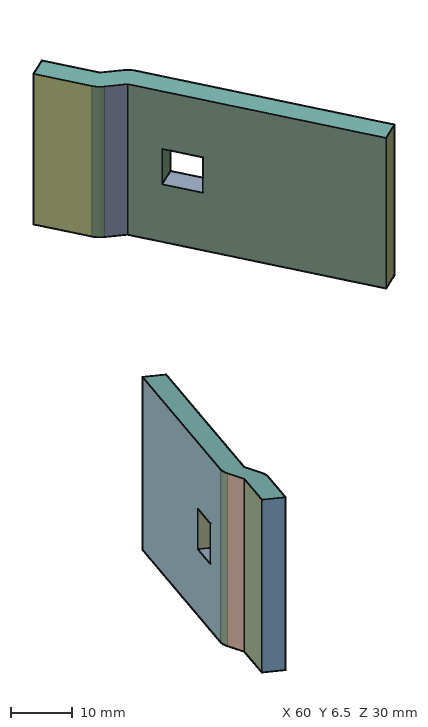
import cadquery as cq
import math

length = 60.0
depth = 6.5
height = 30.0

thickness = 4.0
tab_length = 10.0
bend_angle = math.radians(30)
offset = depth - thickness

hole_side = 7.0
hole_center_x = 24.85


def point_on_bend(center, angle):
    """Point one sheet thickness from a bend center, at an angle from +X."""
    return (
        center[0] + thickness * math.cos(angle),
        center[1] + thickness * math.sin(angle),
    )


down = -math.pi / 2
up = math.pi / 2
tab_bend = (tab_length, thickness)
tab_arc_start = point_on_bend(tab_bend, down)
tab_arc_middle = point_on_bend(tab_bend, down + bend_angle / 2)
tab_arc_end = point_on_bend(tab_bend, down + bend_angle)

slope_run = (offset - tab_arc_end[1]) / math.tan(bend_angle)
plate_bend = (tab_arc_end[0] + slope_run, offset)
plate_arc_start = point_on_bend(plate_bend, up)
plate_arc_middle = point_on_bend(plate_bend, up + bend_angle / 2)
plate_arc_end = point_on_bend(plate_bend, up + bend_angle)

sheet = (
    cq.Workplane("XY")
    .moveTo(0, 0)
    .lineTo(*tab_arc_start)
    .threePointArc(tab_arc_middle, tab_arc_end)
    .lineTo(*plate_bend)
    .lineTo(length, offset)
    .lineTo(length, depth)
    .lineTo(*plate_arc_start)
    .threePointArc(plate_arc_middle, plate_arc_end)
    .lineTo(*tab_bend)
    .lineTo(0, thickness)
    .close()
    .extrude(height)
)

hole = (
    cq.Workplane("XY")
    .box(hole_side, depth, hole_side)
    .translate((hole_center_x, depth / 2, height / 2))
)

result = sheet.cut(hole)